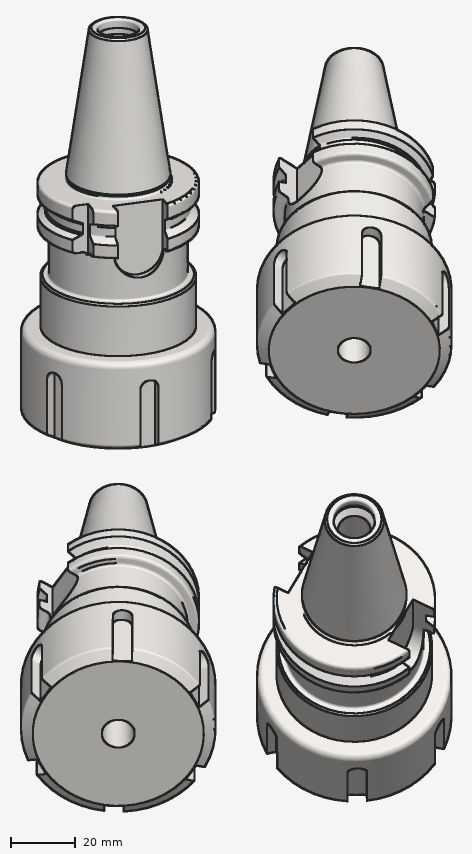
import cadquery as cq
import math

total_height = 129.8
gauge_z = 82.0
taper_end_z = 80.7
flange_top_z = 78.8
flange_bottom_z = 62.8
shoulder_z = 47.2
nut_top_z = 30.0

taper_ratio = 7 / 24
gauge_radius = 16.0
undercut_radius = 15.8
flange_radius = 24.9
body_radius = 21.4
housing_radius = 24.0
nut_radius = 30.0

taper_tip_chamfer = 0.6
undercut_relief = 0.8
undercut_fillet = 0.8
flange_fillet = 1.0
flange_root_fillet = 0.9
shoulder_root_fillet = 0.8
shoulder_chamfer = 0.6
nut_fillet = 2.1
nose_chamfer_width = 3.6
nose_chamfer_angle = 30.0
nose_corner_fillet = 0.9

groove_z = 70.7
groove_floor_radius = 22.3
groove_mouth_width = 6.6
groove_flank_angle = 30.0
groove_root_fillet = 0.6

drive_slot_width = 16.1
left_slot_floor = 16.2
right_slot_floor = 18.8
notch_offset = 14.9
notch_bottom_z = flange_bottom_z - flange_root_fillet

spanner_slot_count = 6
spanner_slot_width = 6.0
spanner_slot_top_z = 23.8
spanner_slot_floor = 26.5

bore_radius = 5.0
counterbore_radius = 6.4
counterbore_mouth_fillet = 0.8
counterbore_depth = 2.9
relief_groove_radius = 7.1
relief_groove_depth = 5.2


def turned_outline():
    """Solid of revolution from the nut nose to the taper tip."""
    taper_end_radius = gauge_radius + (gauge_z - taper_end_z) * taper_ratio / 2
    tip_radius = gauge_radius - (total_height - gauge_z) * taper_ratio / 2
    nose_slope = math.radians(nose_chamfer_angle)
    corner_z = nose_chamfer_width * math.tan(nose_slope)
    corner_length = nose_corner_fillet * math.tan((math.pi / 2 - nose_slope) / 2)
    blend_radius = nut_radius - corner_length * math.cos(nose_slope)
    blend_z = corner_z - corner_length * math.sin(nose_slope)
    tip_edge_radius = tip_radius + taper_tip_chamfer * taper_ratio / 2
    return (
        cq.Workplane("XZ")
        .moveTo(0, 0)
        .lineTo(nut_radius - nose_chamfer_width, 0)
        .lineTo(blend_radius, blend_z)
        .tangentArcPoint((nut_radius, corner_z + corner_length), relative=False)
        .lineTo(nut_radius, nut_top_z - nut_fillet)
        .tangentArcPoint((nut_radius - nut_fillet, nut_top_z), relative=False)
        .lineTo(housing_radius, nut_top_z)
        .lineTo(housing_radius, shoulder_z - shoulder_chamfer)
        .lineTo(housing_radius - shoulder_chamfer, shoulder_z)
        .lineTo(body_radius + shoulder_root_fillet, shoulder_z)
        .tangentArcPoint((body_radius, shoulder_z + shoulder_root_fillet), relative=False)
        .lineTo(body_radius, flange_bottom_z - flange_root_fillet)
        .tangentArcPoint((body_radius + flange_root_fillet, flange_bottom_z), relative=False)
        .lineTo(flange_radius - flange_fillet, flange_bottom_z)
        .tangentArcPoint((flange_radius, flange_bottom_z + flange_fillet), relative=False)
        .lineTo(flange_radius, flange_top_z - flange_fillet)
        .tangentArcPoint((flange_radius - flange_fillet, flange_top_z), relative=False)
        .lineTo(undercut_radius + undercut_fillet, flange_top_z)
        .tangentArcPoint((undercut_radius, flange_top_z + undercut_fillet), relative=False)
        .lineTo(undercut_radius, taper_end_z - undercut_relief)
        .lineTo(taper_end_radius, taper_end_z)
        .lineTo(tip_edge_radius, total_height - taper_tip_chamfer)
        .lineTo(tip_radius - taper_tip_chamfer, total_height)
        .lineTo(0, total_height)
        .close()
        .revolve(360, (0, 0, 0), (0, 1, 0))
    )


def gripper_groove():
    """Ring cutter with sloping flanks and rounded root corners."""
    flank = math.radians(groove_flank_angle)
    mouth_half = groove_mouth_width / 2
    floor_half = mouth_half - (flange_radius - groove_floor_radius) * math.tan(flank)
    root_length = groove_root_fillet * math.tan((math.pi / 2 - flank) / 2)
    root_radius = groove_floor_radius + root_length * math.cos(flank)
    root_half = floor_half + root_length * math.sin(flank)
    straight_half = floor_half - root_length
    return (
        cq.Workplane("XZ")
        .moveTo(flange_radius, groove_z + mouth_half)
        .lineTo(root_radius, groove_z + root_half)
        .tangentArcPoint((groove_floor_radius, groove_z + straight_half), relative=False)
        .lineTo(groove_floor_radius, groove_z - straight_half)
        .tangentArcPoint((root_radius, groove_z - root_half), relative=False)
        .lineTo(flange_radius, groove_z - mouth_half)
        .close()
        .revolve(360, (0, 0, 0), (0, 1, 0))
    )


def round_ended_slot(width, end_center_z, far_z, floor, depth):
    """Slot cutter facing +X: its round end is centred at end_center_z, its open end at far_z."""
    length = abs(far_z - end_center_z)
    straight = (
        cq.Workplane("YZ", origin=(floor, 0, (end_center_z + far_z) / 2))
        .rect(width, length)
        .extrude(depth)
    )
    rounded = (
        cq.Workplane("YZ", origin=(floor, 0, end_center_z))
        .circle(width / 2)
        .extrude(depth)
    )
    return straight.union(rounded)


def drive_slot(floor):
    return round_ended_slot(drive_slot_width, flange_bottom_z, flange_top_z, floor, flange_radius - floor)


def orientation_notch():
    """Square corner cut through the flange on the +X, -Y side."""
    size = flange_radius - notch_offset
    return (
        cq.Workplane("XY", origin=(0, 0, notch_bottom_z))
        .moveTo(notch_offset, -notch_offset)
        .rect(size, -size, centered=False)
        .extrude(flange_top_z - notch_bottom_z)
    )


def spanner_slot(angle):
    end_center_z = spanner_slot_top_z - spanner_slot_width / 2
    depth = nut_radius - spanner_slot_floor
    slot = round_ended_slot(spanner_slot_width, end_center_z, 0, spanner_slot_floor, depth)
    return slot.rotate((0, 0, 0), (0, 0, 1), angle)


def stepped_bore():
    """Through bore that widens into the counterbore at the taper tip."""
    floor_depth = relief_groove_depth + relief_groove_radius - bore_radius
    return (
        cq.Workplane("XZ")
        .moveTo(0, 0)
        .lineTo(bore_radius, 0)
        .lineTo(bore_radius, total_height - floor_depth)
        .lineTo(relief_groove_radius, total_height - relief_groove_depth)
        .lineTo(relief_groove_radius, total_height - counterbore_depth)
        .lineTo(counterbore_radius, total_height - counterbore_depth)
        .lineTo(counterbore_radius, total_height - counterbore_mouth_fillet)
        .tangentArcPoint((counterbore_radius + counterbore_mouth_fillet, total_height), relative=False)
        .lineTo(0, total_height)
        .close()
        .revolve(360, (0, 0, 0), (0, 1, 0))
    )


result = turned_outline().cut(gripper_groove())
result = result.cut(drive_slot(right_slot_floor))
result = result.cut(drive_slot(left_slot_floor).rotate((0, 0, 0), (0, 0, 1), 180))
result = result.cut(orientation_notch())
for index in range(spanner_slot_count):
    result = result.cut(spanner_slot(index * 360 / spanner_slot_count))
result = result.cut(stepped_bore())